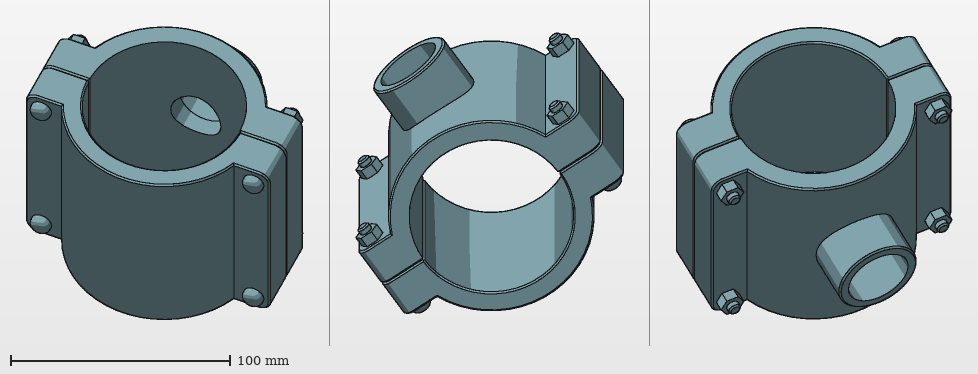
import cadquery as cq
import math

length = 98.0
ring_diameter = 94.0
bore_diameter = 75.0
edge_chamfer = 0.8

flange_width = 122.0
flange_thickness = 18.8
flange_corner_radius = 6.0

branch_diameter = 39.4
branch_start = 40.3
branch_end = 66.9
branch_bore_diameter = 25.0
socket_diameter = 30.3
socket_depth = 21.0

bolt_spacing_x = 106.0
bolt_spacing_z = 82.0
bolt_diameter = 6.0
bolt_end = 26.8
head_diameter = 10.0
head_height = 4.0
head_round = 3.0
nut_across_flats = 10.0
nut_across_corners = nut_across_flats / math.cos(math.pi / 6)
nut_height = 5.0


def y_cylinder(diameter, start, end):
    """Cylinder along Y between two Y positions."""
    plane = cq.Workplane("XZ", origin=(0, end, 0))
    return plane.circle(diameter / 2).extrude(end - start)


def clamp_half():
    """Half of the clamp on the +Y side, with the bore edges at its Z ends left sharp."""
    flange = (
        cq.Workplane("XY")
        .box(flange_width, flange_thickness, length, centered=(True, False, True))
        .edges("|Y")
        .fillet(flange_corner_radius)
        .faces(">Y")
        .chamfer(edge_chamfer)
    )
    ring = cq.Workplane("XY").cylinder(length, ring_diameter / 2).edges().chamfer(edge_chamfer)
    back_space = cq.Workplane("XY").box(
        flange_width, flange_width, length, centered=(True, False, True)
    )
    bore = cq.Workplane("XY").cylinder(length, bore_diameter / 2)
    half = flange.union(ring.intersect(back_space)).cut(bore)
    return half.faces("<Y").chamfer(edge_chamfer)


def bore_lead_in(side):
    """Cone that bevels the bore edge at the +Z (side = 1) or -Z (side = -1) end."""
    end = cq.Workplane("XY", origin=(0, 0, side * length / 2))
    return (
        end.circle(bore_diameter / 2 + edge_chamfer)
        .workplane(offset=-side * edge_chamfer)
        .circle(bore_diameter / 2)
        .loft(ruled=True)
    )


def bolt():
    """Button-head bolt on the Y axis with its nut, head towards -Y."""
    head = (
        y_cylinder(head_diameter, -flange_thickness - head_height, -flange_thickness)
        .faces("<Y")
        .edges()
        .fillet(head_round)
    )
    shank = (
        y_cylinder(bolt_diameter, -flange_thickness, bolt_end)
        .faces(">Y")
        .chamfer(edge_chamfer)
    )
    nut = (
        cq.Workplane("XZ", origin=(0, flange_thickness, 0))
        .polygon(6, nut_across_corners)
        .extrude(-nut_height)
    )
    return head.union(shank).union(nut)


back_half = clamp_half()
front_half = clamp_half().mirror("XZ")
for side in (1, -1):
    front_half = front_half.cut(bore_lead_in(side))

branch = y_cylinder(branch_diameter, branch_start, branch_end).faces(">Y").chamfer(edge_chamfer)
back_half = back_half.union(branch)
back_half = back_half.cut(y_cylinder(branch_bore_diameter, 0, branch_end))
back_half = back_half.cut(y_cylinder(socket_diameter, branch_end - socket_depth, branch_end))

result = back_half.union(front_half)
for x in (-bolt_spacing_x / 2, bolt_spacing_x / 2):
    for z in (-bolt_spacing_z / 2, bolt_spacing_z / 2):
        result = result.union(bolt().translate((x, 0, z)))